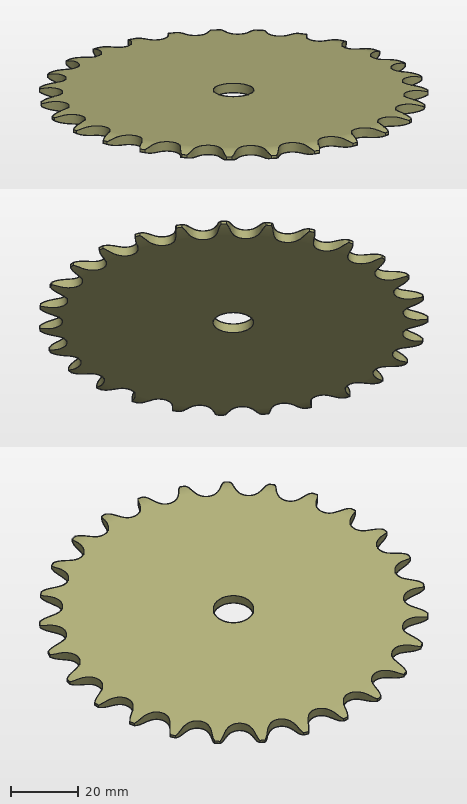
import cadquery as cq
import math


tooth_count = 27
chain_pitch = 12.7
roller_diameter = 7.7
seat_clearance = 0.08
thickness = 3.0
bore_diameter = 12.0
tip_radius = 57.7
side_relief_radius = chain_pitch
side_relief_depth = 1.0

tooth_angle = 2 * math.pi / tooth_count
first_gap_angle = math.pi / 2
pitch_radius = chain_pitch / (2 * math.sin(tooth_angle / 2))
seat_radius = (1.005 * roller_diameter + seat_clearance) / 2
seat_half_angle = math.radians(55 - 60 / tooth_count)

working_offset = 0.8 * roller_diameter
working_radius = seat_radius + working_offset
working_angle = math.radians(18 - 56 / tooth_count)

topping_offset = 1.4 * roller_diameter
topping_angle = math.radians(17 - 64 / tooth_count)
straight_length = topping_offset * math.sin(topping_angle) - working_offset * math.sin(working_angle)
topping_radius = (
    working_offset * math.cos(working_angle)
    + topping_offset * math.cos(topping_angle)
    - working_radius
)

relief_length = math.sqrt(side_relief_radius**2 - (side_relief_radius - side_relief_depth)**2)
face_radius = tip_radius - relief_length


def polar(radius, angle):
    return (radius * math.cos(angle), radius * math.sin(angle))


def offset(origin, radius, angle):
    dx, dy = polar(radius, angle)
    return (origin[0] + dx, origin[1] + dy)


def direction(start, end):
    return math.atan2(end[1] - start[1], end[0] - start[0])


def tooth_flank():
    """Points of the +Y side of a gap centred on +X, from the seat end out to the tooth tip."""
    seat_centre = (pitch_radius, 0)
    seat_end_angle = math.pi - seat_half_angle
    seat_end = offset(seat_centre, seat_radius, seat_end_angle)

    working_centre = offset(seat_centre, -working_offset, seat_end_angle)
    working_end_angle = seat_end_angle - working_angle
    working_middle = offset(working_centre, working_radius, seat_end_angle - working_angle / 2)
    working_end = offset(working_centre, working_radius, working_end_angle)

    straight_end = offset(working_end, straight_length, working_end_angle - math.pi / 2)

    topping_centre = offset(straight_end, topping_radius, working_end_angle)
    centre_distance = math.hypot(*topping_centre)
    cosine = (tip_radius**2 + centre_distance**2 - topping_radius**2) / (2 * tip_radius * centre_distance)
    tip_end = polar(tip_radius, direction((0, 0), topping_centre) - math.acos(cosine))
    topping_start_angle = working_end_angle - math.pi
    topping_end_angle = direction(topping_centre, tip_end)
    topping_middle = offset(topping_centre, topping_radius, (topping_start_angle + topping_end_angle) / 2)

    return seat_end, working_middle, working_end, straight_end, topping_middle, tip_end


def toothed_plate():
    """Plate with the full tooth outline, traced counter-clockwise gap by gap."""
    flank = tooth_flank()

    def flank_at(gap_angle, side):
        """Flank points of the gap at gap_angle; side is +1 or -1 about the gap axis."""
        return [
            polar(math.hypot(x, y), gap_angle + side * math.atan2(y, x))
            for x, y in flank
        ]

    outline = cq.Workplane("XY", origin=(0, 0, -thickness / 2))
    outline = outline.moveTo(*flank_at(first_gap_angle, -1)[-1])
    for index in range(tooth_count):
        gap_angle = first_gap_angle + index * tooth_angle
        root = polar(pitch_radius - seat_radius, gap_angle)
        tip_middle = polar(tip_radius, gap_angle + tooth_angle / 2)
        next_tip_end = flank_at(gap_angle + tooth_angle, -1)[-1]

        seat_end, working_middle, working_end, straight_end, topping_middle, _ = flank_at(gap_angle, -1)
        outline = (
            outline
            .threePointArc(topping_middle, straight_end)
            .lineTo(*working_end)
            .threePointArc(working_middle, seat_end)
        )

        seat_end, working_middle, working_end, straight_end, topping_middle, tip_end = flank_at(gap_angle, 1)
        outline = (
            outline
            .threePointArc(root, seat_end)
            .threePointArc(working_middle, working_end)
            .lineTo(*straight_end)
            .threePointArc(topping_middle, tip_end)
            .threePointArc(tip_middle, next_tip_end)
        )
    return outline.close().extrude(thickness)


def relieved_disc():
    """Disc whose faces curve in towards the tooth tips, tangent to the flat faces."""
    half = thickness / 2
    tip_half = half - side_relief_depth
    sweep = math.asin(relief_length / side_relief_radius)
    middle_radius = face_radius + side_relief_radius * math.sin(sweep / 2)
    middle_half = half - side_relief_radius * (1 - math.cos(sweep / 2))
    return (
        cq.Workplane("XZ")
        .moveTo(0, -half)
        .lineTo(face_radius, -half)
        .threePointArc((middle_radius, -middle_half), (tip_radius, -tip_half))
        .lineTo(tip_radius, tip_half)
        .threePointArc((middle_radius, middle_half), (face_radius, half))
        .lineTo(0, half)
        .close()
        .revolve(360, (0, 0, 0), (0, 1, 0))
    )


bore = cq.Workplane("XY").circle(bore_diameter / 2).extrude(thickness, both=True)

result = toothed_plate().intersect(relieved_disc()).cut(bore)